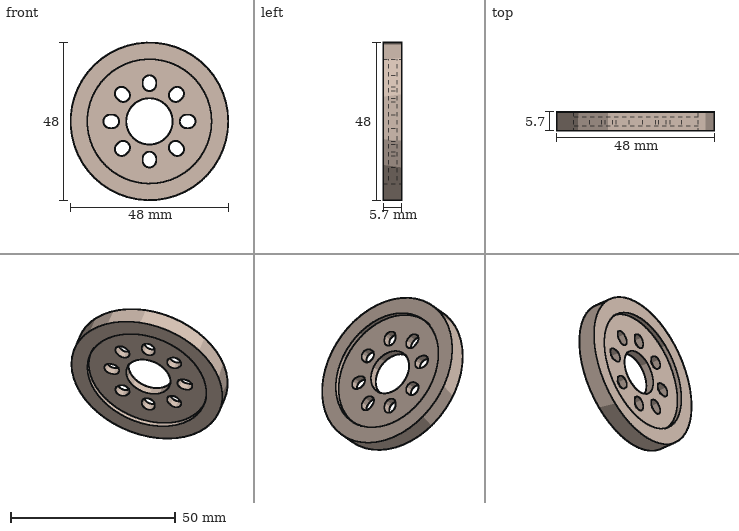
import cadquery as cq

ring_diameter = 48.0
ring_width = 5.7

disc_diameter = 37.8
disc_thickness = 2.7
bore_diameter = 14.0

slot_count = 8
slot_width = 4.05
slot_length = 4.7
slot_circle_radius = 11.6


def centred_cylinder(diameter, width):
    """Cylinder along Y, centred on the origin."""
    return cq.Workplane("XZ", origin=(0, width / 2, 0)).circle(diameter / 2).extrude(width)


def make_ring():
    """Plain ring whose opening holds the disc."""
    return centred_cylinder(ring_diameter, ring_width).cut(centred_cylinder(disc_diameter, ring_width))


def make_slots():
    """Through slots, each with its long direction pointing at the wheel axis."""
    return (
        cq.Workplane("XZ", origin=(0, disc_thickness / 2, 0))
        .polarArray(slot_circle_radius, 0, 360, slot_count)
        .slot2D(slot_length, slot_width)
        .extrude(disc_thickness)
    )


def make_disc():
    """Disc with a central bore and a circle of radial slots."""
    blank = centred_cylinder(disc_diameter, disc_thickness)
    bored = blank.cut(centred_cylinder(bore_diameter, disc_thickness))
    return bored.cut(make_slots())


ring = make_ring()
disc = make_disc()

result = cq.Compound.makeCompound([ring.val(), disc.val()])